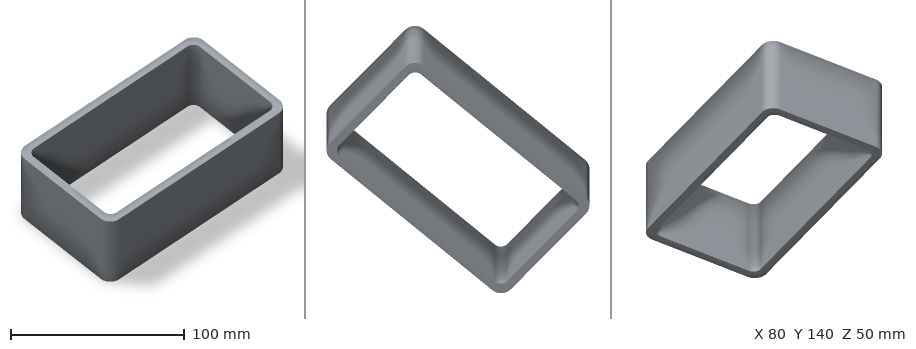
import cadquery as cq

width = 80.0
length = 140.0
height = 50.0

wall = 5.0
outer_radius = 7.5
inner_radius = 5.0


def rounded_block(size_x, size_y, corner_radius):
    """Block of the full height with rounded vertical edges."""
    block = cq.Workplane("XY").rect(size_x, size_y).extrude(height)
    return block.edges("|Z").fillet(corner_radius)


outer = rounded_block(width, length, outer_radius)
opening = rounded_block(width - 2 * wall, length - 2 * wall, inner_radius)
result = outer.cut(opening)